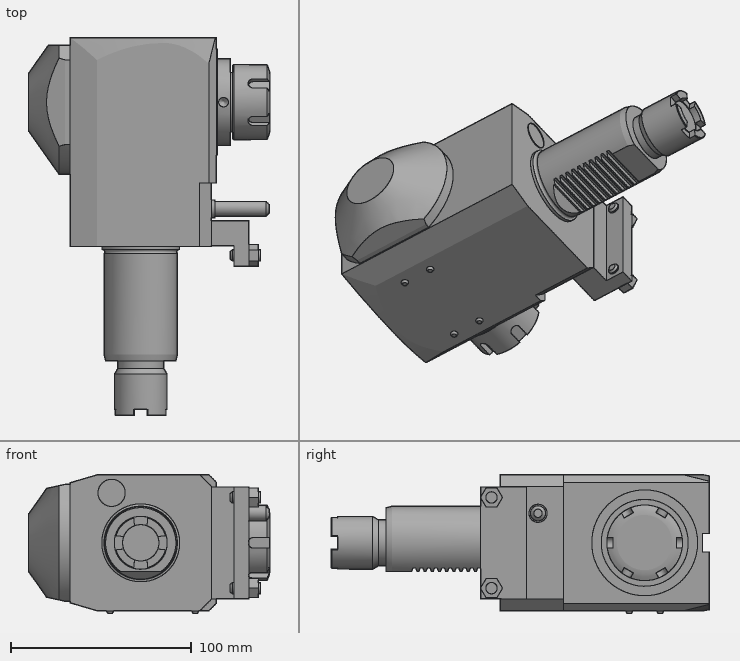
import cadquery as cq
import math


HOUSING_LEFT = -39.0
HOUSING_RIGHT = 41.8
HOUSING_BACK = 115.5
HALF_HEIGHT = 37.6
LEFT_BEVEL_RUN = 15.0
LEFT_BEVEL_DROP = 4.4
RIGHT_CHAMFER = 4.2
STEP_BACK = 35.1
STEP_FACE_X = 39.0
STEP_CHAMFER = 6.5
NOTCH_WIDTH = 10.0
NOTCH_DEPTH = 3.8

CROWN_X = 12.5
CROWN_Z = 37.0
CROWN_LEFT_RADIUS = 355.3
CROWN_RIGHT_RADIUS = 140.0
RELIEF_SLOPE = 0.2
RELIEF_LENGTH = 29.3
RELIEF_CLEARANCE = 12.5
SIDE_MARGIN = 2.0

SPINDLE_Y = 79.8

COVER_RADIUS = 40.0
COVER_RIM_X = -45.1
COVER_TIP_X = -62.0
COVER_TIP_RADIUS = 15.9
COVER_BACK_FLAT = 31.5
COVER_FLAT_Z = 32.4
COVER_FLAT_BEND_X = -41.5
COVER_FLAT_SLOPE = 0.22

FLANGE_RADIUS = 29.3
FLANGE_X = 42.5
COLLAR_RADIUS = 24.0
COLLAR_X = 49.5
COLLAR_DIMPLE_X = 45.8
COLLAR_DIMPLE_RADIUS = 2.7
COLLAR_DIMPLE_DEPTH = 3.0
SPINDLE_NECK_RADIUS = 16.5
NUT_START_X = 50.8
NUT_RADIUS = 21.0
NUT_EDGE_CHAMFER = 0.6
NUT_NOSE_X = 69.8
NUT_NOSE_MIDDLE_X = 70.9
NUT_NOSE_MIDDLE_RADIUS = 18.4
NUT_END_X = 71.5
NUT_END_RADIUS = 15.3
NUT_SLOTS = 6
NUT_SLOT_WIDTH = 5.9
NUT_SLOT_DEPTH = 3.3
NUT_SLOT_START_X = 59.4

SHANK_COLLAR_RADIUS = 21.5
SHANK_RADIUS = 20.3
SHANK_UNDERCUT_RADIUS = 20.0
SHANK_COLLAR_END = -1.7
SHANK_UNDERCUT_Y = -2.5
SHANK_START = -3.8
SHANK_END = -63.1
SHANK_CHAMFER_LENGTH = 3.3
SHANK_CHAMFER_DEPTH = 0.8
NECK_RADIUS = 12.7
NECK_END = -67.3
DRIVE_START = -70.5
DRIVE_RADIUS = 14.6
DRIVE_END = -93.5
DRIVE_END_CHAMFER = 0.5
DRIVE_SLOTS = 4
DRIVE_SLOT_DEPTH = 3.5
DRIVE_SLOT_OUTER_WIDTH = 8.0
DRIVE_SLOT_INNER_WIDTH = 7.0
DRIVE_BORE_RADIUS = 10.0
DRIVE_BORE_DEPTH = 4.0

FLAT_Z = -15.9
FLAT_START = -9.5
TOOTH_COUNT = 10
TOOTH_PITCH = 4.0
TOOTH_DEPTH = 1.9
FIRST_GROOVE = -11.7
GROOVE_TOP_WIDTH = 3.0
GROOVE_ROOT_WIDTH = 1.5

BRACKET_HALF_HEIGHT = 31.0
BRACKET_X = 59.8
BRACKET_BACK = 14.5
BRACKET_FRONT = 0.5
LEG_X = 51.5
LEG_FRONT = -10.9
BOLT_Y = -4.8
BOLT_Z = 25.0
BOLT_RADIUS = 3.1
BOLT_TIP_RADIUS = 2.0
BOLT_TIP_X = 49.3
BOLT_SHOULDER_X = 50.5
BOLT_HEAD_DIAMETER = 12.1
BOLT_HEAD_X = 65.0
BOLT_END_X = 66.3

PIN_Y = 21.0
PIN_Z = 16.3
PIN_RADIUS = 4.2
PIN_BASE_RADIUS = 5.0
PIN_BASE_X = 41.0
PIN_END_X = 71.0
PIN_CHAMFER = 1.9

PLUG_X = -16.0
PLUG_Z = 27.5
PLUG_RADIUS = 7.5
PLUG_DEPTH = 0.5

TIP_XS = (-17.0, 30.0)
TIP_OFFSET_Y = 8.5
TIP_HEIGHT = 1.5
TIP_BASE_RADIUS = 2.0
TIP_END_RADIUS = 1.3

OVERLAP = 2.0


def box(x_range, y_range, z_range):
    (x0, x1), (y0, y1), (z0, z1) = x_range, y_range, z_range
    return cq.Workplane("XY").box(x1 - x0, y1 - y0, z1 - z0, centered=False).translate((x0, y0, z0))


def rod_x(radius, x0, x1, y, z):
    """Cylinder parallel to X."""
    return cq.Workplane("YZ", origin=(x0, y, z)).circle(radius).extrude(x1 - x0)


def turn_about_spindle(profile):
    """Turn a closed (x, radius) workplane profile about the spindle axis."""
    return profile.revolve(360, (0, 0, 0), (1, 0, 0)).translate((0, SPINDLE_Y, 0))


def mirrored_pair(solid):
    return solid.union(solid.mirror("XY"))


def prism_y(points, y0, y1):
    """Prism along Y from y0 back to y1 with an (x, z) outline."""
    return cq.Workplane("XZ", origin=(0, y0, 0)).polyline(points).close().extrude(y0 - y1)


def relief_section(y):
    """Area above the curved back edge, raised along the relief slope at depth y."""
    lift = (HOUSING_BACK - y) * RELIEF_SLOPE
    x_left = HOUSING_LEFT - SIDE_MARGIN
    x_right = HOUSING_RIGHT + SIDE_MARGIN

    def edge_point(x, radius):
        sag = radius - math.sqrt(radius**2 - (x - CROWN_X) ** 2)
        return (x, CROWN_Z - sag + lift)

    top = CROWN_Z + RELIEF_CLEARANCE
    left_middle = edge_point((x_left + CROWN_X) / 2, CROWN_LEFT_RADIUS)
    right_middle = edge_point((x_right + CROWN_X) / 2, CROWN_RIGHT_RADIUS)
    outline = (
        cq.Workplane("XZ", origin=(0, y, 0))
        .moveTo(*edge_point(x_left, CROWN_LEFT_RADIUS))
        .threePointArc(left_middle, (CROWN_X, CROWN_Z + lift))
        .threePointArc(right_middle, edge_point(x_right, CROWN_RIGHT_RADIUS))
        .lineTo(x_right, top)
        .lineTo(x_left, top)
        .close()
    )
    return outline.val()


def make_housing():
    bevel_z = HALF_HEIGHT - LEFT_BEVEL_DROP
    chamfer_z = HALF_HEIGHT - RIGHT_CHAMFER
    bevel_x = HOUSING_LEFT + LEFT_BEVEL_RUN
    chamfer_x = HOUSING_RIGHT - RIGHT_CHAMFER
    upper = [(HOUSING_LEFT, bevel_z), (bevel_x, HALF_HEIGHT),
             (chamfer_x, HALF_HEIGHT), (HOUSING_RIGHT, chamfer_z)]
    lower = [(x, -z) for x, z in reversed(upper)]
    housing = prism_y(upper + lower, HOUSING_BACK, 0)

    step_z = HALF_HEIGHT - STEP_CHAMFER
    step_x = STEP_FACE_X - STEP_CHAMFER
    outer_x = HOUSING_RIGHT + SIDE_MARGIN
    outer_z = HALF_HEIGHT + SIDE_MARGIN
    edge = [(step_x, outer_z), (step_x, HALF_HEIGHT), (STEP_FACE_X, step_z)]
    edge_below = [(x, -z) for x, z in reversed(edge)]
    step = prism_y(edge + edge_below + [(outer_x, -outer_z), (outer_x, outer_z)], STEP_BACK, 0)
    housing = housing.cut(step)

    relief = cq.Workplane(cq.Solid.makeLoft(
        [relief_section(HOUSING_BACK), relief_section(HOUSING_BACK - RELIEF_LENGTH)], True))
    housing = housing.cut(relief).cut(relief.mirror("XY"))

    notch = box((HOUSING_LEFT, HOUSING_RIGHT), (HOUSING_BACK - NOTCH_DEPTH, HOUSING_BACK),
                (-NOTCH_WIDTH / 2, NOTCH_WIDTH / 2))
    plug = cq.Workplane("XZ").center(PLUG_X, PLUG_Z).circle(PLUG_RADIUS).extrude(-PLUG_DEPTH)
    return housing.cut(notch).cut(plug)


def make_cover():
    base_x = HOUSING_LEFT + OVERLAP
    profile = cq.Workplane("XY").polyline([
        (base_x, 0), (base_x, COVER_RADIUS), (COVER_RIM_X, COVER_RADIUS),
        (COVER_TIP_X, COVER_TIP_RADIUS), (COVER_TIP_X, 0)]).close()
    cover = turn_about_spindle(profile)
    tip_z = COVER_FLAT_Z - COVER_FLAT_SLOPE * (COVER_FLAT_BEND_X - COVER_TIP_X)
    upper = [(base_x, COVER_FLAT_Z), (COVER_FLAT_BEND_X, COVER_FLAT_Z), (COVER_TIP_X, tip_z)]
    lower = [(x, -z) for x, z in reversed(upper)]
    envelope = prism_y(upper + lower, SPINDLE_Y + COVER_BACK_FLAT, SPINDLE_Y - COVER_RADIUS)
    return cover.intersect(envelope)


def make_spindle():
    base_x = HOUSING_RIGHT - OVERLAP
    nose_middle = (NUT_NOSE_MIDDLE_X, NUT_NOSE_MIDDLE_RADIUS)
    profile = (
        cq.Workplane("XY")
        .polyline([
            (base_x, 0), (base_x, FLANGE_RADIUS), (FLANGE_X, FLANGE_RADIUS),
            (FLANGE_X, COLLAR_RADIUS), (COLLAR_X, COLLAR_RADIUS),
            (COLLAR_X, SPINDLE_NECK_RADIUS), (NUT_START_X, SPINDLE_NECK_RADIUS),
            (NUT_START_X, NUT_RADIUS - NUT_EDGE_CHAMFER),
            (NUT_START_X + NUT_EDGE_CHAMFER, NUT_RADIUS), (NUT_NOSE_X, NUT_RADIUS)])
        .threePointArc(nose_middle, (NUT_END_X, NUT_END_RADIUS))
        .lineTo(NUT_END_X, 0)
        .close()
    )
    spindle = turn_about_spindle(profile)

    dimple = cq.Workplane(cq.Solid.makeCone(
        COLLAR_DIMPLE_RADIUS, 0, COLLAR_DIMPLE_DEPTH,
        cq.Vector(COLLAR_DIMPLE_X, SPINDLE_Y, COLLAR_RADIUS), cq.Vector(0, 0, -1)))
    spindle = spindle.cut(dimple)

    slot_end_x = NUT_END_X + NUT_SLOT_WIDTH
    slot = (
        cq.Workplane("XZ", origin=(0, -(NUT_RADIUS - NUT_SLOT_DEPTH), 0))
        .center((NUT_SLOT_START_X + slot_end_x) / 2, 0)
        .slot2D(slot_end_x - NUT_SLOT_START_X, NUT_SLOT_WIDTH)
        .extrude(NUT_SLOT_DEPTH + OVERLAP)
    )
    for index in range(NUT_SLOTS):
        turned = slot.rotate((0, 0, 0), (1, 0, 0), index * 360 / NUT_SLOTS)
        spindle = spindle.cut(turned.translate((0, SPINDLE_Y, 0)))
    return spindle


def make_shank():
    slot_floor = DRIVE_END + DRIVE_SLOT_DEPTH
    profile = (
        cq.Workplane("XY")
        .polyline([(0, OVERLAP), (SHANK_COLLAR_RADIUS, OVERLAP), (SHANK_COLLAR_RADIUS, SHANK_COLLAR_END)])
        .threePointArc((SHANK_UNDERCUT_RADIUS, SHANK_UNDERCUT_Y), (SHANK_RADIUS, SHANK_START))
        .lineTo(SHANK_RADIUS, SHANK_END + SHANK_CHAMFER_LENGTH)
        .lineTo(SHANK_RADIUS - SHANK_CHAMFER_DEPTH, SHANK_END)
        .lineTo(NECK_RADIUS, SHANK_END)
        .lineTo(NECK_RADIUS, NECK_END)
        .lineTo(DRIVE_RADIUS, DRIVE_START)
        .lineTo(DRIVE_RADIUS, DRIVE_END + DRIVE_END_CHAMFER)
        .lineTo(DRIVE_RADIUS - DRIVE_END_CHAMFER, DRIVE_END)
        .lineTo(0, DRIVE_END)
        .close()
    )
    shank = profile.revolve(360, (0, 0, 0), (0, 1, 0))

    bore = cq.Workplane("XZ", origin=(0, DRIVE_END, 0)).circle(DRIVE_BORE_RADIUS).extrude(-DRIVE_BORE_DEPTH)
    shank = shank.cut(bore)
    half_inner = DRIVE_SLOT_INNER_WIDTH / 2
    half_outer = DRIVE_SLOT_OUTER_WIDTH / 2
    inner_x = math.sqrt(DRIVE_BORE_RADIUS**2 - half_inner**2)
    slot = prism_y([(0, -half_inner), (inner_x, -half_inner), (DRIVE_RADIUS, -half_outer),
                    (DRIVE_RADIUS, half_outer), (inner_x, half_inner), (0, half_inner)],
                   slot_floor, DRIVE_END)
    for index in range(DRIVE_SLOTS):
        shank = shank.cut(slot.rotate((0, 0, 0), (0, 1, 0), index * 360 / DRIVE_SLOTS))

    depth = SHANK_COLLAR_RADIUS + FLAT_Z
    flat = (
        cq.Workplane("YZ")
        .polyline([(SHANK_END, FLAT_Z), (FLAT_START, FLAT_Z),
                   (FLAT_START + depth, FLAT_Z - depth), (SHANK_END, FLAT_Z - depth)])
        .close()
        .extrude(SHANK_RADIUS, both=True)
    )
    shank = shank.cut(flat)
    root_z = FLAT_Z + TOOTH_DEPTH
    for index in range(TOOTH_COUNT):
        y = FIRST_GROOVE - index * TOOTH_PITCH
        groove = (
            cq.Workplane("YZ")
            .polyline([(y - GROOVE_TOP_WIDTH / 2, FLAT_Z), (y - GROOVE_ROOT_WIDTH / 2, root_z),
                       (y + GROOVE_ROOT_WIDTH / 2, root_z), (y + GROOVE_TOP_WIDTH / 2, FLAT_Z)])
            .close()
            .extrude(SHANK_RADIUS, both=True)
        )
        shank = shank.cut(groove)
    return shank


def make_bracket():
    base_x = STEP_FACE_X - OVERLAP
    bracket = (
        cq.Workplane("XY")
        .polyline([(base_x, BRACKET_BACK), (BRACKET_X, BRACKET_BACK), (BRACKET_X, LEG_FRONT),
                   (LEG_X, LEG_FRONT), (LEG_X, BRACKET_FRONT), (base_x, BRACKET_FRONT)])
        .close()
        .extrude(BRACKET_HALF_HEIGHT, both=True)
    )
    head = (
        cq.Workplane("YZ", origin=(BRACKET_X, BOLT_Y, BOLT_Z))
        .polygon(6, BOLT_HEAD_DIAMETER)
        .extrude(BOLT_HEAD_X - BRACKET_X)
    )
    body = rod_x(BOLT_RADIUS, BOLT_SHOULDER_X, BOLT_END_X, BOLT_Y, BOLT_Z)
    tip_length = BOLT_SHOULDER_X - BOLT_TIP_X
    tip = cq.Workplane(cq.Solid.makeCone(
        BOLT_TIP_RADIUS, BOLT_RADIUS, tip_length,
        cq.Vector(BOLT_TIP_X, BOLT_Y, BOLT_Z), cq.Vector(1, 0, 0)))
    bolt = head.union(body).union(tip)
    return bracket.union(mirrored_pair(bolt))


def make_pin():
    base_x = STEP_FACE_X - OVERLAP
    pin = rod_x(PIN_RADIUS, base_x, PIN_END_X, PIN_Y, PIN_Z).faces(">X").chamfer(PIN_CHAMFER)
    return pin.union(rod_x(PIN_BASE_RADIUS, base_x, PIN_BASE_X, PIN_Y, PIN_Z))


def make_screw_tips():
    tips = cq.Workplane("XY")
    for x in TIP_XS:
        for side in (-1, 1):
            y = SPINDLE_Y + side * TIP_OFFSET_Y
            tips = tips.add(cq.Solid.makeCone(
                TIP_BASE_RADIUS, TIP_END_RADIUS, TIP_HEIGHT,
                cq.Vector(x, y, -HALF_HEIGHT), cq.Vector(0, 0, -1)))
    return tips


result = make_housing()
for feature in (make_cover(), make_spindle(), make_shank(), make_bracket(),
                make_pin(), make_screw_tips()):
    result = result.union(feature)